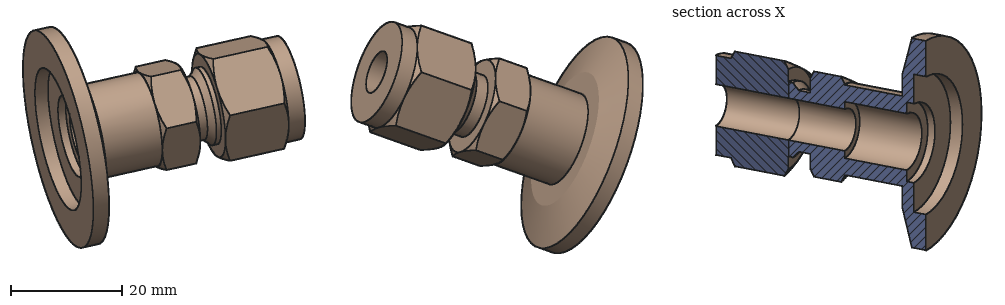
import cadquery as cq
import math

LENGTH = 43.6

FLANGE_DIA = 40.0
FLANGE_BACK_DIA = 25.3
STEM_DIA = 17.25
NECK_DIA = 11.75
COLLAR_DIA = 14.3
NUT_CAP_DIA = 19.05
BORE_DIA = 7.9
STEM_BORE_DIA = 10.7
SEAT_DIA = 15.0
RECESS_DIA = 26.2

BODY_HEX_FLATS = 17.5
NUT_HEX_FLATS = 19.05
HEX_CHAMFER_ANGLE = 30.0

RIM_LENGTH = 3.0
FLANGE_LENGTH = 5.0
STEM_LENGTH = 11.8
BODY_HEX_LENGTH = 7.2
NECK_LENGTH = 2.3
COLLAR_LENGTH = 0.9
NUT_CAP_LENGTH = 3.1
RECESS_DEPTH = 2.5
SEAT_DEPTH = 1.5

STEM_END = FLANGE_LENGTH + STEM_LENGTH
BODY_HEX_END = STEM_END + BODY_HEX_LENGTH
NECK_END = BODY_HEX_END + NECK_LENGTH
COLLAR_START = NECK_END + (COLLAR_DIA - NECK_DIA) / 2
NUT_START = COLLAR_START + COLLAR_LENGTH
NUT_HEX_END = LENGTH - NUT_CAP_LENGTH


def cylinder(diameter, start, end):
    """Cylinder about the Y axis between two stations."""
    plane = cq.Workplane("XZ", origin=(0, start, 0))
    return plane.circle(diameter / 2).extrude(start - end)


def revolve_profile(points):
    """Solid of revolution about Y from (radius, station) points."""
    return cq.Workplane("XY").polyline(points).close().revolve(360, (0, 0), (0, 1))


def chamfered_hexagon(flats, start, end):
    """Hexagonal prism with corners on Z, turned down to its flats at both ends."""
    flat_radius = flats / 2
    corner_radius = flat_radius / math.cos(math.pi / 6)
    chamfer = (corner_radius - flat_radius) * math.tan(math.radians(HEX_CHAMFER_ANGLE))
    prism = (
        cq.Workplane("XZ", origin=(0, start, 0))
        .polygon(6, 2 * corner_radius)
        .extrude(start - end)
        .rotate((0, 0, 0), (0, 1, 0), 90)
    )
    envelope = revolve_profile([
        (0, start),
        (flat_radius, start),
        (corner_radius, start + chamfer),
        (corner_radius, end - chamfer),
        (flat_radius, end),
        (0, end),
    ])
    return prism.intersect(envelope)


def make_fitting_body():
    """Flange, stem, hexagon, neck and collar in one piece, with a stepped bore."""
    flange_and_stem = revolve_profile([
        (0, 0),
        (FLANGE_DIA / 2, 0),
        (FLANGE_DIA / 2, RIM_LENGTH),
        (FLANGE_BACK_DIA / 2, FLANGE_LENGTH),
        (STEM_DIA / 2, FLANGE_LENGTH),
        (STEM_DIA / 2, STEM_END),
        (0, STEM_END),
    ])
    neck_and_collar = revolve_profile([
        (0, BODY_HEX_END),
        (NECK_DIA / 2, BODY_HEX_END),
        (NECK_DIA / 2, NECK_END),
        (COLLAR_DIA / 2, COLLAR_START),
        (COLLAR_DIA / 2, NUT_START),
        (0, NUT_START),
    ])
    hexagon = chamfered_hexagon(BODY_HEX_FLATS, STEM_END, BODY_HEX_END)
    body = flange_and_stem.union(hexagon).union(neck_and_collar)
    return (
        body.cut(cylinder(RECESS_DIA, 0, RECESS_DEPTH))
        .cut(cylinder(SEAT_DIA, 0, RECESS_DEPTH + SEAT_DEPTH))
        .cut(cylinder(STEM_BORE_DIA, 0, STEM_END))
        .cut(cylinder(BORE_DIA, 0, NUT_START))
    )


def make_nut():
    """Hexagon nut with a round cap, seated on the end of the collar."""
    hexagon = chamfered_hexagon(NUT_HEX_FLATS, NUT_START, NUT_HEX_END)
    cap = cylinder(NUT_CAP_DIA, NUT_HEX_END, LENGTH)
    return hexagon.union(cap).cut(cylinder(BORE_DIA, NUT_START, LENGTH))


fitting_body = make_fitting_body()
nut = make_nut()
result = cq.Compound.makeCompound([fitting_body.solids().val(), nut.solids().val()])